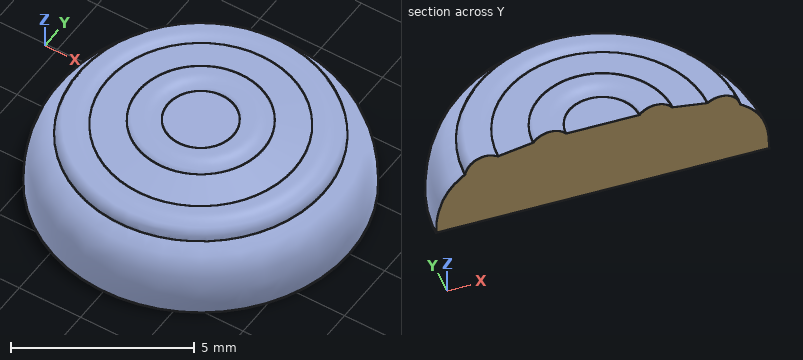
import cadquery as cq

base_radius = 4.85
crown_height = 2.53
shoulder_points = [(4.84, 0.33), (4.75, 0.91), (4.57, 1.36), (4.0, 1.96), (3.04, 2.33), (2.03, 2.5)]
crown_flat_radius = 1.455

bead_radius = 0.6
outer_ring_radius = 3.41
outer_ring_top = 2.45
inner_ring_radius = 1.53
inner_ring_top = 2.75


def make_dome():
    """Revolve the half outline of the dome about Z."""
    outline = (
        cq.Workplane("XZ")
        .lineTo(base_radius, 0)
        .spline(
            shoulder_points + [(crown_flat_radius, crown_height)],
            tangents=[(0, 1), (-1, 0)],
            includeCurrent=True,
        )
        .lineTo(0, crown_height)
        .close()
    )
    return outline.revolve(360, (0, 0, 0), (0, 1, 0))


def make_ring(ring_radius, top_height):
    """Make a round-section ring whose highest point is at top_height."""
    ring = cq.Solid.makeTorus(ring_radius, bead_radius)
    return cq.Workplane(obj=ring.translate(cq.Vector(0, 0, top_height - bead_radius)))


outer_ring = make_ring(outer_ring_radius, outer_ring_top)
inner_ring = make_ring(inner_ring_radius, inner_ring_top)
result = make_dome().union(outer_ring).union(inner_ring)